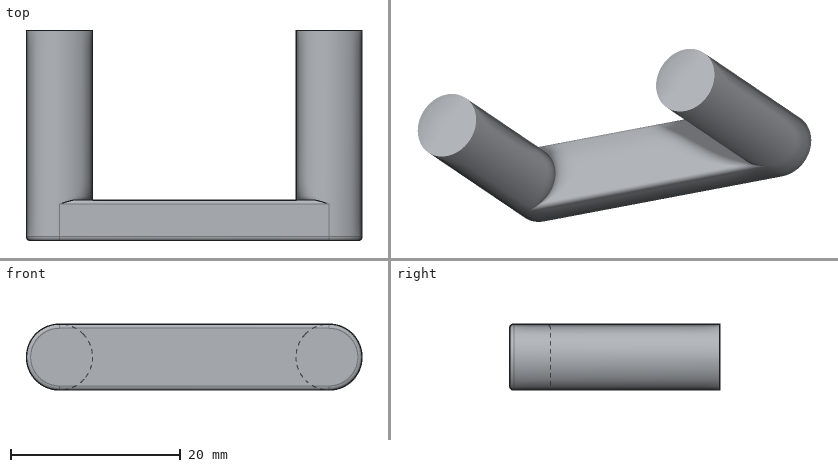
import cadquery as cq

overall_length = 39.6
leg_diameter = 7.8
overall_depth = 24.8
grip_thickness = 4.8
edge_radius = 0.5

leg_radius = leg_diameter / 2
leg_spacing = overall_length - leg_diameter


def make_grip():
    """Bar between the leg axes, with its two rear long edges rounded."""
    bar = cq.Workplane("XY").box(
        leg_spacing, grip_thickness, leg_diameter, centered=(True, False, True)
    )
    return bar.faces(">Y").edges("|X").fillet(edge_radius)


def make_leg(x_position):
    """Round leg running from the grip face at Y = 0 toward +Y."""
    return (
        cq.Workplane("XZ")
        .center(x_position, 0)
        .circle(leg_radius)
        .extrude(-overall_depth)
    )


def round_front_edge(body):
    """Round the slot-shaped outline of the front face."""
    return body.faces("<Y").edges().fillet(edge_radius)


handle = make_grip()
for side in (-1, 1):
    handle = handle.union(make_leg(side * leg_spacing / 2))

result = round_front_edge(handle)